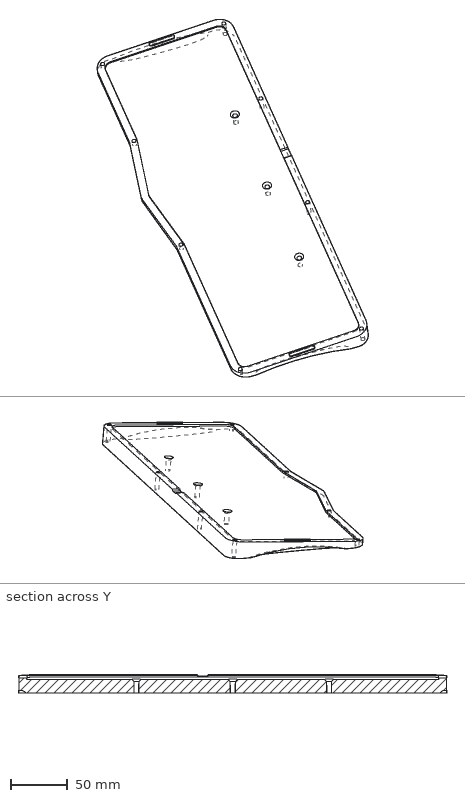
import cadquery as cq
import math

WIDTH = 379.0
DEPTH = 139.5
REAR_HEIGHT = 16.3
TILT = 5.0

CORNER_RADIUS = 14.0
POINT_CENTER_X = -29.5
POINT_HALF_WIDTH = 62.0
POINT_ANGLE = 10.0
POINT_RADIUS = 16.3

RIM_WIDTH = 7.2
RECESS_DEPTH = 1.5

NOTCH_CENTER_X = -26.5
NOTCH_FLOOR_WIDTH = 8.0
NOTCH_DEPTH = 1.0

RIM_HOLE_DIAMETER = 3.5
RIM_HOLE_INSET = 4.0
CORNER_HOLE_INSET = 7.0
PLATE_HOLE_DIAMETER = 4.0
COUNTERSINK_DIAMETER = 8.0
COUNTERSINK_ANGLE = 90.0
PLATE_HOLE_PITCH = 85.3
PLATE_HOLE_FROM_REAR = 31.0

TAB_LENGTH = 24.0
TAB_WIDTH = 3.5
TAB_HEIGHT = 1.0

SCOOP_LENGTH = 88.3
SCOOP_HEIGHT = 5.3
SCOOP_DEPTH = 7.5
SCOOP_ROUNDING = 6.0

tilt = math.radians(TILT)
sweep = math.radians(POINT_ANGLE)
half_width = WIDTH / 2
outline_length = (DEPTH - REAR_HEIGHT * math.tan(tilt)) / math.cos(tilt)
point_drop = POINT_HALF_WIDTH * math.tan(sweep)
point_rounding_loss = POINT_RADIUS * (1 / math.cos(sweep) - 1)
side_length = outline_length - point_drop + point_rounding_loss
blank_thickness = 2 * REAR_HEIGHT
point_left_x = POINT_CENTER_X - POINT_HALF_WIDTH
point_right_x = POINT_CENTER_X + POINT_HALF_WIDTH


def outline_prism(inset, thickness):
    """Outline moved inward by inset and extruded down from the top plane (rear edge at y = 0)."""
    side = half_width - inset
    front = inset - side_length
    bend_shift = inset * math.tan(sweep / 2)
    bend_half_width = POINT_HALF_WIDTH + bend_shift
    tip = front - bend_half_width * math.tan(sweep)
    prism = (
        cq.Workplane("XY")
        .moveTo(-side, -inset)
        .lineTo(side, -inset)
        .lineTo(side, front)
        .lineTo(POINT_CENTER_X + bend_half_width, front)
        .lineTo(POINT_CENTER_X, tip)
        .lineTo(POINT_CENTER_X - bend_half_width, front)
        .lineTo(-side, front)
        .close()
        .extrude(-thickness)
    )
    prism = prism.edges("|Z and (<X or >X)").fillet(CORNER_RADIUS - inset)
    return prism.edges("|Z and <Y").fillet(POINT_RADIUS - inset)


def cable_notch():
    half_floor = NOTCH_FLOOR_WIDTH / 2
    half_top = half_floor + NOTCH_DEPTH
    return (
        cq.Workplane("XZ")
        .moveTo(NOTCH_CENTER_X - half_top, 0)
        .lineTo(NOTCH_CENTER_X - half_floor, -NOTCH_DEPTH)
        .lineTo(NOTCH_CENTER_X + half_floor, -NOTCH_DEPTH)
        .lineTo(NOTCH_CENTER_X + half_top, 0)
        .close()
        .extrude(RIM_WIDTH)
    )


def rim_hole_points():
    corner_x = half_width - CORNER_HOLE_INSET
    corner_rows = (-CORNER_HOLE_INSET, CORNER_HOLE_INSET - side_length)
    middle_rows = (-RIM_HOLE_INSET, RIM_HOLE_INSET - side_length)
    corners = [(x, y) for x in (-corner_x, corner_x) for y in corner_rows]
    middles = [(x, y) for x in (point_left_x, point_right_x) for y in middle_rows]
    return corners + middles


def side_tabs():
    tab_x = half_width - RIM_WIDTH / 2
    return (
        cq.Workplane("XY")
        .pushPoints([(-tab_x, -side_length / 2), (tab_x, -side_length / 2)])
        .slot2D(TAB_LENGTH, TAB_WIDTH, 90)
        .extrude(TAB_HEIGHT)
    )


def finger_scoop():
    """Arched pocket in the left side at ground level, with a rounded inner edge."""
    half_length = SCOOP_LENGTH / 2
    arch_radius = (half_length**2 + SCOOP_HEIGHT**2) / (2 * SCOOP_HEIGHT)
    center_y = -side_length / 2 * math.cos(tilt)
    disc = (
        cq.Workplane("YZ", origin=(-half_width, center_y, SCOOP_HEIGHT - arch_radius))
        .circle(arch_radius)
        .extrude(SCOOP_DEPTH)
    )
    return disc.faces(">X").edges().fillet(SCOOP_ROUNDING)


body = outline_prism(0, blank_thickness)
body = body.cut(outline_prism(RIM_WIDTH, RECESS_DEPTH))
body = body.cut(cable_notch())
body = body.cut(
    cq.Workplane("XY")
    .pushPoints(rim_hole_points())
    .circle(RIM_HOLE_DIAMETER / 2)
    .extrude(-blank_thickness)
)
body = (
    body.copyWorkplane(cq.Workplane("XY", origin=(0, 0, -RECESS_DEPTH)))
    .pushPoints([(i * PLATE_HOLE_PITCH, -PLATE_HOLE_FROM_REAR) for i in (-1, 0, 1)])
    .cskHole(PLATE_HOLE_DIAMETER, COUNTERSINK_DIAMETER, COUNTERSINK_ANGLE)
)
body = body.union(side_tabs())

body = body.rotate((0, 0, 0), (1, 0, 0), TILT).translate((0, 0, REAR_HEIGHT))
ground = cq.Workplane("XY").rect(2 * WIDTH, 4 * DEPTH).extrude(-2 * blank_thickness)
body = body.cut(ground)

scoop = finger_scoop()
result = body.cut(scoop).cut(scoop.mirror("YZ"))